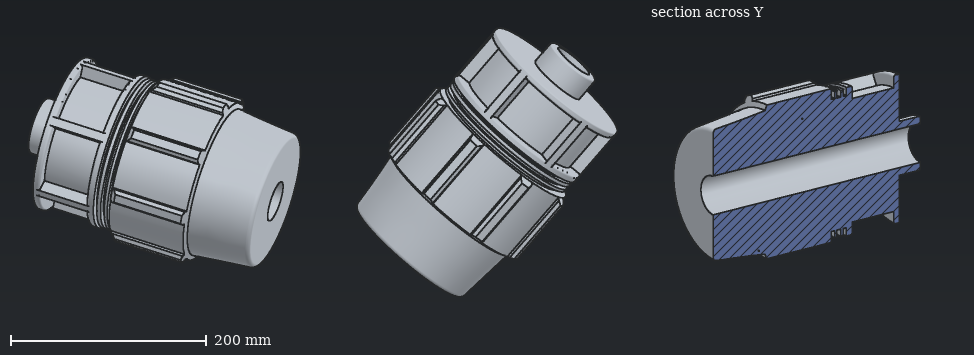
import cadquery as cq
import math

overall_length = 261.0
overall_width = 170.5
bore_diameter = 41.8

spigot_diameter = 59.5
spigot_fillet = 2.5

flange_diameter = 162.9
spool_core_diameter = 135.5
spool_start = 26.0
front_flange_thickness = 7.8
rear_flange_start = 85.5
spool_end = 93.5
flange_fillet = 2.0
pocket_edge_fillet = 2.5
spool_rib_count = 6
spool_rib_width = 9.5

neck_diameter = 144.9
ring_diameter = 159.7
ring_spans = [(96.5, 100.7), (104.7, 108.0)]

nut_start = 112.0
nut_end = 195.8
nut_radius = 84.3
nut_rib_count = 8
nut_rib_base_width = 15.7
nut_rib_top_width = 9.5
nut_rib_shoulder_radius = 86.5
nut_start_bevel_length = 5.7
nut_end_bevel_length = 4.7

tail_start_radius = 78.5
tail_end_radius = 71.8
tail_fillet = 5.0

nut_rib_pitch = 360.0 / nut_rib_count
half_pitch = math.radians(nut_rib_pitch / 2)
nut_rib_top_radius = (
    overall_width / 2 - nut_rib_top_width / 2 * math.sin(half_pitch)
) / math.cos(half_pitch)
nut_rib_corner_radius = math.hypot(nut_rib_top_radius, nut_rib_top_width / 2)


def cylinder(start, end, diameter):
    """Solid cylinder on the X axis from start to end."""
    return cq.Workplane("YZ").workplane(offset=start).circle(diameter / 2).extrude(end - start)


def turned(points):
    """Solid turned about the X axis from (x, radius) points."""
    return cq.Workplane("XY").polyline(points).close().revolve(360, (0, 0, 0), (1, 0, 0))


def ring_of_copies(body, count, first_angle):
    """Copies of body evenly spaced about the X axis."""
    copies = cq.Workplane("YZ")
    for index in range(count):
        angle = first_angle + index * 360.0 / count
        copies = copies.union(body.rotate((0, 0, 0), (1, 0, 0), angle))
    return copies


def make_spigot():
    return cylinder(0, spool_start, spigot_diameter).faces("<X").edges().fillet(spigot_fillet)


def make_spool():
    drum = cylinder(spool_start, spool_end, flange_diameter)
    drum = drum.faces("<X").edges().fillet(flange_fillet)

    core_radius = spool_core_diameter / 2
    rim_radius = flange_diameter / 2
    round_radius = rim_radius - pocket_edge_fillet
    round_bulge = pocket_edge_fillet * math.sqrt(0.5)
    front_wall = spool_start + front_flange_thickness
    front_center = front_wall - pocket_edge_fillet
    rear_center = rear_flange_start + pocket_edge_fillet
    groove = (
        cq.Workplane("XY")
        .moveTo(front_wall, core_radius)
        .lineTo(front_wall, round_radius)
        .threePointArc(
            (front_center + round_bulge, round_radius + round_bulge),
            (front_center, rim_radius),
        )
        .lineTo(rear_center, rim_radius)
        .threePointArc(
            (rear_center - round_bulge, round_radius + round_bulge),
            (rear_flange_start, round_radius),
        )
        .lineTo(rear_flange_start, core_radius)
        .close()
        .revolve(360, (0, 0, 0), (1, 0, 0))
    )

    rib = (
        cq.Workplane("YZ")
        .workplane(offset=spool_start)
        .center(rim_radius, 0)
        .rect(2 * rim_radius, spool_rib_width)
        .extrude(spool_end - spool_start)
    )
    pockets = groove.cut(ring_of_copies(rib, spool_rib_count, 0))
    return drum.cut(pockets)


def make_neck():
    neck = cylinder(spool_end, nut_start, neck_diameter)
    for start, end in ring_spans:
        neck = neck.union(cylinder(start, end, ring_diameter))
    return neck


def make_nut():
    rib = (
        cq.Workplane("YZ")
        .workplane(offset=nut_start)
        .polyline([
            (0, -nut_rib_base_width / 2),
            (nut_rib_shoulder_radius, -nut_rib_base_width / 2),
            (nut_rib_top_radius, -nut_rib_top_width / 2),
            (nut_rib_top_radius, nut_rib_top_width / 2),
            (nut_rib_shoulder_radius, nut_rib_base_width / 2),
            (0, nut_rib_base_width / 2),
        ])
        .close()
        .extrude(nut_end - nut_start)
    )
    ribs = ring_of_copies(rib, nut_rib_count, nut_rib_pitch / 2)

    envelope = turned([
        (nut_start, 0),
        (nut_start, nut_radius),
        (nut_start + nut_start_bevel_length, nut_rib_corner_radius),
        (nut_end - nut_end_bevel_length, nut_rib_corner_radius),
        (nut_end, tail_start_radius),
        (nut_end, 0),
    ])
    return cylinder(nut_start, nut_end, 2 * nut_radius).union(ribs).intersect(envelope)


def make_tail():
    tail = turned([
        (nut_end, 0),
        (nut_end, tail_start_radius),
        (overall_length, tail_end_radius),
        (overall_length, 0),
    ])
    return tail.faces(">X").edges().fillet(tail_fillet)


body = make_spigot().union(make_spool()).union(make_neck()).union(make_nut()).union(make_tail())
result = body.cut(cylinder(0, overall_length, bore_diameter))